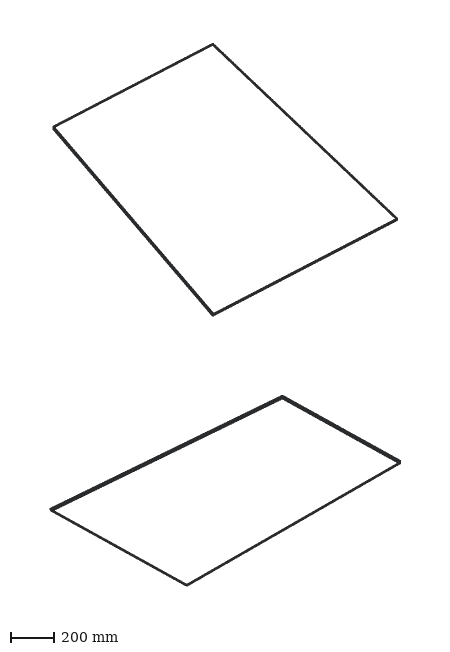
import cadquery as cq

plan_length = 1250.5
upper_edge_length = 955.2
lower_edge_length = 1100.8

overall_height = 305.23
upright_thickness = 10.28
low_end_setback = 4.7

yaw_angle = 6.66

bottom_drop = overall_height - upright_thickness
top_drop = bottom_drop * plan_length / (plan_length - low_end_setback)

half_plan_length = plan_length / 2
half_height = overall_height / 2


def plan_prism():
    """Upright prism with the trapezoidal outline, as tall as the panel."""
    half_upper = upper_edge_length / 2
    half_lower = lower_edge_length / 2
    corners = [
        (-half_plan_length, -half_upper),
        (half_plan_length, -half_lower),
        (half_plan_length, half_lower),
        (-half_plan_length, half_upper),
    ]
    return cq.Workplane("XY").polyline(corners).close().extrude(half_height, both=True)


def sloping_slab():
    """Slab falling towards +X, as wide as the longest edge.

    Its high end is upright; its low end is cut back underneath.
    """
    profile = [
        (-half_plan_length, half_height),
        (half_plan_length, half_height - top_drop),
        (half_plan_length - low_end_setback, -half_height),
        (-half_plan_length, half_height - upright_thickness),
    ]
    return cq.Workplane("XZ").polyline(profile).close().extrude(lower_edge_length / 2, both=True)


panel = sloping_slab().intersect(plan_prism())
result = panel.rotate((0, 0, 0), (0, 0, 1), yaw_angle)